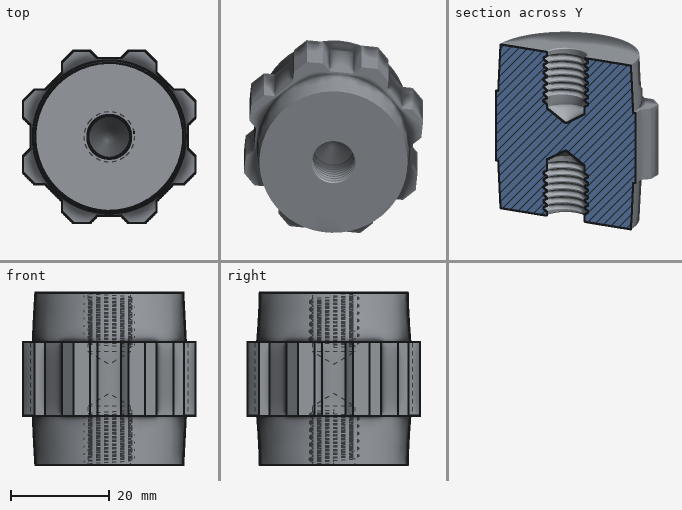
import cadquery as cq
import math

height = 35.0
collar_height = 15.0
boss_height = (height - collar_height) / 2
boss_end_radius = 15.0
draft_angle = 3.0
boss_root_radius = boss_end_radius + boss_height * math.tan(math.radians(draft_angle))

side_count = 8
collar_across_flats = 35.0
notch_depth = 1.5
notch_floor_width = 4.8
notch_mouth_width = notch_floor_width + 2 * notch_depth

bore_diameter = 8.53
thread_root_diameter = 10.2
thread_pitch = 1.5
thread_root_width = 0.2
thread_mouth_width = 1.23
thread_overlap = 0.1
mouth_diameter = 8.9
bore_depth = 12.0
thread_start_depth = 0.8
thread_turns = 6.5
drill_point_angle = 118.0


def make_body():
    """Revolved boss pair, joined through the core of the collar."""
    collar_half = collar_height / 2
    return (
        cq.Workplane("XZ")
        .moveTo(0, -height / 2)
        .lineTo(boss_end_radius, -height / 2)
        .lineTo(boss_root_radius, -collar_half)
        .lineTo(boss_root_radius, collar_half)
        .lineTo(boss_end_radius, height / 2)
        .lineTo(0, height / 2)
        .close()
        .revolve(360, (0, 0, 0), (0, 1, 0))
    )


def make_collar():
    """Octagonal grip with a notch along each side."""
    apothem = collar_across_flats / 2
    floor = apothem - notch_depth
    side_corner = apothem * math.tan(math.pi / side_count)
    bottom = cq.Workplane("XY").workplane(offset=-collar_height / 2)
    collar = bottom.polygon(side_count, 2 * math.hypot(apothem, side_corner)).extrude(collar_height)
    collar = collar.rotate((0, 0, 0), (0, 0, 1), 180 / side_count)
    notch = bottom.polyline([
        (floor, -notch_floor_width / 2),
        (apothem, -notch_mouth_width / 2),
        (apothem, notch_mouth_width / 2),
        (floor, notch_floor_width / 2),
    ]).close().extrude(collar_height)
    for index in range(side_count):
        collar = collar.cut(notch.rotate((0, 0, 0), (0, 0, 1), index * 360 / side_count))
    return collar


def make_bore():
    """Drilled hole with a countersunk mouth and a conical floor, cut from the top end."""
    top = height / 2
    bore_radius = bore_diameter / 2
    mouth_radius = mouth_diameter / 2
    point_length = bore_radius / math.tan(math.radians(drill_point_angle / 2))
    return (
        cq.Workplane("XZ")
        .moveTo(0, top)
        .lineTo(mouth_radius, top)
        .lineTo(bore_radius, top - (mouth_radius - bore_radius))
        .lineTo(bore_radius, top - bore_depth)
        .lineTo(0, top - bore_depth - point_length)
        .close()
        .revolve(360, (0, 0, 0), (0, 1, 0))
    )


def make_thread():
    """Helical V groove around the bore wall, set inside the hole's length."""
    bore_radius = bore_diameter / 2
    root_radius = thread_root_diameter / 2
    inner_radius = bore_radius - thread_overlap
    flank_slope = (thread_mouth_width - thread_root_width) / (root_radius - bore_radius)
    inner_width = thread_mouth_width + flank_slope * thread_overlap
    length = thread_turns * thread_pitch
    start = height / 2 - thread_start_depth - length
    path = cq.Workplane(cq.Wire.makeHelix(thread_pitch, length, inner_radius, cq.Vector(0, 0, start)))
    profile = (
        cq.Workplane("XZ")
        .polyline([
            (inner_radius, start - inner_width / 2),
            (root_radius, start - thread_root_width / 2),
            (root_radius, start + thread_root_width / 2),
            (inner_radius, start + inner_width / 2),
        ])
        .close()
    )
    return profile.sweep(path, isFrenet=True)


threaded_hole = make_bore().union(make_thread())
result = make_body().union(make_collar()).cut(threaded_hole)
result = result.cut(threaded_hole.rotate((0, 0, 0), (1, 0, 0), 180)).solids()